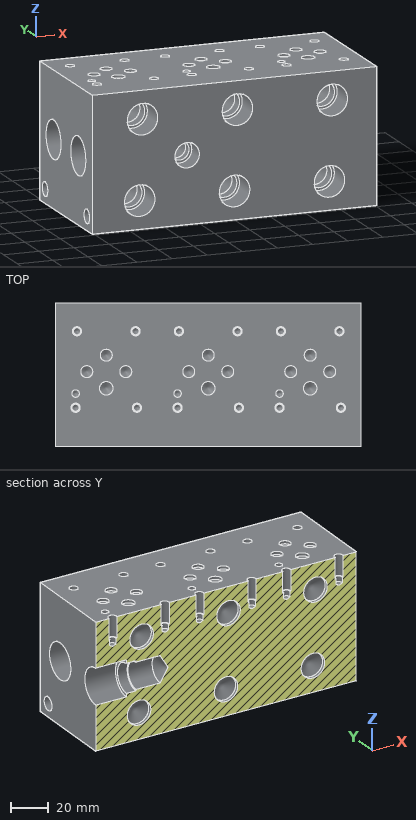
import math

import cadquery as cq

LENGTH = 161.93
WIDTH = 76.2
HEIGHT = 76.2

STATION_COUNT = 3
STATION_PITCH = 53.98
FIRST_STATION_X = (LENGTH - (STATION_COUNT - 1) * STATION_PITCH) / 2
STATION_XS = [FIRST_STATION_X + i * STATION_PITCH for i in range(STATION_COUNT)]

DRILL_POINT_ANGLE = 118.0

REAR_BOLT_ROW_Y = WIDTH - 15.08
FRONT_BOLT_ROW_OFFSET = 40.5
REAR_BOLT_SPACING = 31.0
FRONT_BOLT_SPACING = 32.5
BOLT_THREAD_DIAMETER = 4.83
BOLT_THREAD_DEPTH = 12.7
BOLT_DRILL_DIAMETER = 3.79
BOLT_DRILL_DEPTH = 16.0

VALVE_PORT_DIAMETER = 6.35
FRONT_VALVE_PORT_DIAMETER = 7.14
VALVE_PORT_DEPTH = 1.8
REAR_VALVE_PORT_OFFSET = 12.7
SIDE_VALVE_PORT_OFFSET = 21.4
FRONT_VALVE_PORT_OFFSET = 30.2
SIDE_VALVE_PORT_SPACING = 20.64

LOCATING_HOLE_DIAMETER = 3.96
LOCATING_HOLE_DEPTH = 4.0
LOCATING_HOLE_OFFSET = 33.0

WORK_PORT_THREAD_DIAMETER = 17.3
WORK_PORT_THREAD_DEPTH = 15.0
WORK_PORT_DRILL_DIAMETER = 14.3
WORK_PORT_DRILL_DEPTH = 22.0
WORK_PORT_INSET = 15.88
UPPER_WORK_PORT_SHIFT = 1.59

GAUGE_PORT_X = 53.98
GAUGE_PORT_Z = HEIGHT / 2
GAUGE_PORT_THREAD_DIAMETER = 13.87
GAUGE_PORT_THREAD_DEPTH = 11.0
GAUGE_PORT_DRILL_DIAMETER = 10.72
GAUGE_PORT_DRILL_DEPTH = 16.0

MAIN_PORT_INSET = 20.2
MAIN_PORT_Z = HEIGHT / 2
MAIN_PORT_THREAD_DIAMETER = 21.59
MAIN_PORT_THREAD_DEPTH = 19.0
MAIN_PORT_DRILL_DIAMETER = 17.48
MAIN_PORT_DRILL_DEPTH = 25.0
MAIN_PASSAGE_DIAMETER = 15.88
MAIN_PASSAGE_DEPTH = 40.0

MOUNT_HOLE_INSET = 7.94
MOUNT_THREAD_DIAMETER = 7.92
MOUNT_THREAD_DEPTH = 12.7
MOUNT_DRILL_DIAMETER = 6.53
MOUNT_DRILL_DEPTH = 16.0

INTO_TOP = cq.Vector(0, 0, -1)
INTO_FRONT = cq.Vector(0, 1, 0)
INTO_END = cq.Vector(1, 0, 0)


def stepped_hole(entry, direction, steps):
    """Blind hole: (diameter, depth from the face) steps, narrowing inward, ending in a drill point."""
    start = cq.Vector(*entry)
    last_diameter, last_depth = steps[-1]
    point_radius = last_diameter / 2
    point_height = point_radius / math.tan(math.radians(DRILL_POINT_ANGLE / 2))
    point_base = start + direction * last_depth
    tool = cq.Workplane(cq.Solid.makeCone(point_radius, 0, point_height, point_base, direction))
    for diameter, depth in steps:
        tool = tool.union(cq.Workplane(cq.Solid.makeCylinder(diameter / 2, depth, start, direction)))
    return tool


def cut_valve_pattern(body, station_x):
    """Bolt holes, four valve ports and a locating hole of one station on the top face."""
    bolt_steps = [(BOLT_THREAD_DIAMETER, BOLT_THREAD_DEPTH), (BOLT_DRILL_DIAMETER, BOLT_DRILL_DEPTH)]
    port_steps = [(VALVE_PORT_DIAMETER, VALVE_PORT_DEPTH)]
    front_port_steps = [(FRONT_VALVE_PORT_DIAMETER, VALVE_PORT_DEPTH)]
    locating_steps = [(LOCATING_HOLE_DIAMETER, LOCATING_HOLE_DEPTH)]
    holes = [
        (-REAR_BOLT_SPACING / 2, 0, bolt_steps),
        (REAR_BOLT_SPACING / 2, 0, bolt_steps),
        (-FRONT_BOLT_SPACING / 2, FRONT_BOLT_ROW_OFFSET, bolt_steps),
        (FRONT_BOLT_SPACING / 2, FRONT_BOLT_ROW_OFFSET, bolt_steps),
        (0, REAR_VALVE_PORT_OFFSET, port_steps),
        (-SIDE_VALVE_PORT_SPACING / 2, SIDE_VALVE_PORT_OFFSET, port_steps),
        (SIDE_VALVE_PORT_SPACING / 2, SIDE_VALVE_PORT_OFFSET, port_steps),
        (0, FRONT_VALVE_PORT_OFFSET, front_port_steps),
        (-FRONT_BOLT_SPACING / 2, LOCATING_HOLE_OFFSET, locating_steps),
    ]
    for side, offset, steps in holes:
        entry = (station_x + side, REAR_BOLT_ROW_Y - offset, HEIGHT)
        body = body.cut(stepped_hole(entry, INTO_TOP, steps))
    return body


def cut_work_ports(body, station_x):
    """Lower and upper threaded ports of one station on the front face."""
    steps = [
        (WORK_PORT_THREAD_DIAMETER, WORK_PORT_THREAD_DEPTH),
        (WORK_PORT_DRILL_DIAMETER, WORK_PORT_DRILL_DEPTH),
    ]
    lower_entry = (station_x, 0, WORK_PORT_INSET)
    upper_entry = (station_x + UPPER_WORK_PORT_SHIFT, 0, HEIGHT - WORK_PORT_INSET)
    for entry in (lower_entry, upper_entry):
        body = body.cut(stepped_hole(entry, INTO_FRONT, steps))
    return body


def cut_gauge_port(body):
    """Single small threaded port on the front face."""
    steps = [
        (GAUGE_PORT_THREAD_DIAMETER, GAUGE_PORT_THREAD_DEPTH),
        (GAUGE_PORT_DRILL_DIAMETER, GAUGE_PORT_DRILL_DEPTH),
    ]
    return body.cut(stepped_hole((GAUGE_PORT_X, 0, GAUGE_PORT_Z), INTO_FRONT, steps))


def cut_main_ports(body):
    """Pressure and tank ports in the -X end face, each narrowing to a passage."""
    steps = [
        (MAIN_PORT_THREAD_DIAMETER, MAIN_PORT_THREAD_DEPTH),
        (MAIN_PORT_DRILL_DIAMETER, MAIN_PORT_DRILL_DEPTH),
        (MAIN_PASSAGE_DIAMETER, MAIN_PASSAGE_DEPTH),
    ]
    for y in (MAIN_PORT_INSET, WIDTH - MAIN_PORT_INSET):
        body = body.cut(stepped_hole((0, y, MAIN_PORT_Z), INTO_END, steps))
    return body


def cut_mount_holes(body):
    """Tapped mounting holes in the lower corners of the -X end face."""
    steps = [(MOUNT_THREAD_DIAMETER, MOUNT_THREAD_DEPTH), (MOUNT_DRILL_DIAMETER, MOUNT_DRILL_DEPTH)]
    for y in (MOUNT_HOLE_INSET, WIDTH - MOUNT_HOLE_INSET):
        body = body.cut(stepped_hole((0, y, MOUNT_HOLE_INSET), INTO_END, steps))
    return body


block = cq.Workplane("XY").box(LENGTH, WIDTH, HEIGHT, centered=False)
for x in STATION_XS:
    block = cut_valve_pattern(block, x)
    block = cut_work_ports(block, x)
block = cut_gauge_port(block)
block = cut_main_ports(block)
block = cut_mount_holes(block)

result = block